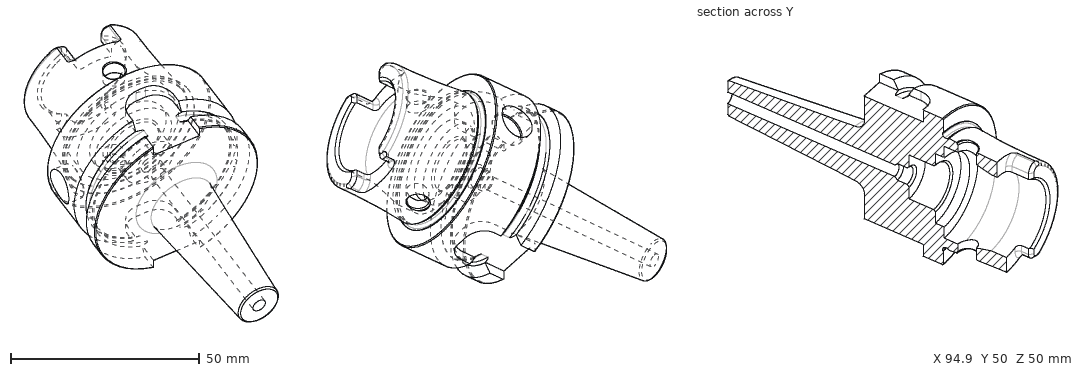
import cadquery as cq
import math

ROUNDING_INSET = 1 - math.sqrt(0.5)

TOTAL_LENGTH = 94.9
TAPER_LENGTH = 25.0
FLANGE_END = 50.7

TAPER_FRONT_RADIUS = 18.1
TAPER_MIDDLE_RADIUS = 18.3
TAPER_REAR_RADIUS = 19.2
TAPER_END = 23.1
FRONT_ROUNDING = 1.0
NECK_RADIUS = 18.8
NECK_START = 23.6
FACE_RELIEF_RADIUS = 20.1
FACE_RELIEF_DEPTH = 0.2
NECK_FILLET = 0.8

FLANGE_DIAMETER = 50.0
FLANGE_RADIUS = FLANGE_DIAMETER / 2
FLANGE_CHAMFER = 0.3
GROOVE_CENTER = 42.8
GROOVE_FLOOR_WIDTH = 3.4
GROOVE_FLOOR_RADIUS = 21.5
GROOVE_WALL_TOP_RADIUS = 22.3
GROOVE_FLANK_ANGLE = 30.0
GROOVE_FLOOR_FILLET = 0.7

SHANK_TIP_RADIUS = 6.2
SHANK_TAPER_ANGLE = 4.5
SHANK_ROOT_FILLET = 3.0
SHANK_TIP_CHAMFER = 0.5

BORE_RADIUS = 12.9
BORE_MOUTH_CHAMFER = 0.8
BORE_LENGTH = 9.5
RELIEF_RADIUS = 15.6
RELIEF_CONE_END = 19.2
RELIEF_END = 24.7
STEP_RADIUS = 11.8
STEP_END = 27.5
SOCKET_RADIUS = 7.4
SOCKET_CHAMFER = 0.6
SOCKET_END = 36.1
COOLANT_INLET_RADIUS = 2.75
COOLANT_INLET_CHAMFER = 0.7
COOLANT_INLET_END = 39.9
COOLANT_RADIUS = 1.9

SLOT_HALF_WIDTH = 5.2
LUG_ROUNDING = 2.4
SLOT_FLOOR_FILLET = 1.2
SLOT_MOUTH_CHAMFER = 1.0
TOP_SLOT_DEPTH = 7.6
BOTTOM_SLOT_DEPTH = 4.6

POCKET_START = 31.6
POCKET_WIDTH = 14.0
POCKET_CORNER_RADIUS = 5.6
POCKET_FLOOR_HEIGHT = 21.0

CROSS_HOLE_CENTER = 17.3
CROSS_HOLE_RADIUS = 2.9
CROSS_HOLE_COUNTERSINK = 0.4
CROSS_HOLE_SEAT_HEIGHT = 18.1

SIDE_HOLE_CENTER = 31.8
SIDE_HOLE_RADIUS = 4.9
SIDE_HOLE_DEPTH = 4.8
SIDE_HOLE_FLOOR_CHAMFER = 0.3


def revolve_about_x(profile):
    return profile.close().revolve(360, (0, 0, 0), (1, 0, 0))


def turn_over(shape):
    """Half turn about X, from the +Z side to the -Z side."""
    return shape.rotate((0, 0, 0), (1, 0, 0), 180)


def make_body():
    """Turned outer shape without the gripper groove: taper, neck, flange and shank."""
    taper_middle = (FRONT_ROUNDING + TAPER_END) / 2
    rounding_inset = FRONT_ROUNDING * ROUNDING_INSET
    relief_x = TAPER_LENGTH + FACE_RELIEF_DEPTH
    neck_inset = NECK_FILLET * ROUNDING_INSET
    slope = math.radians(SHANK_TAPER_ANGLE)
    tip_x = TOTAL_LENGTH - SHANK_TIP_CHAMFER

    fillet_x = FLANGE_END + SHANK_ROOT_FILLET
    cone_radius = SHANK_TIP_RADIUS + (tip_x - fillet_x) * math.tan(slope)
    fillet_radius = cone_radius + SHANK_ROOT_FILLET / math.cos(slope)
    fillet_turn = math.pi / 2 - slope

    def fillet_point(angle):
        """Point on the root fillet, turned by angle from where it touches the flange face."""
        return (
            fillet_x - SHANK_ROOT_FILLET * math.cos(angle),
            fillet_radius - SHANK_ROOT_FILLET * math.sin(angle),
        )

    profile = (
        cq.Workplane("XY")
        .lineTo(0, TAPER_FRONT_RADIUS - FRONT_ROUNDING)
        .threePointArc(
            (rounding_inset, TAPER_FRONT_RADIUS - rounding_inset),
            (FRONT_ROUNDING, TAPER_FRONT_RADIUS),
        )
        .threePointArc((taper_middle, TAPER_MIDDLE_RADIUS), (TAPER_END, TAPER_REAR_RADIUS))
        .lineTo(NECK_START, NECK_RADIUS)
        .lineTo(relief_x - NECK_FILLET, NECK_RADIUS)
        .threePointArc(
            (relief_x - neck_inset, NECK_RADIUS + neck_inset),
            (relief_x, NECK_RADIUS + NECK_FILLET),
        )
        .lineTo(relief_x, FACE_RELIEF_RADIUS)
        .lineTo(TAPER_LENGTH, FACE_RELIEF_RADIUS)
        .lineTo(TAPER_LENGTH, FLANGE_RADIUS - FLANGE_CHAMFER)
        .lineTo(TAPER_LENGTH + FLANGE_CHAMFER, FLANGE_RADIUS)
        .lineTo(FLANGE_END - FLANGE_CHAMFER, FLANGE_RADIUS)
        .lineTo(FLANGE_END, FLANGE_RADIUS - FLANGE_CHAMFER)
        .lineTo(*fillet_point(0))
        .threePointArc(fillet_point(fillet_turn / 2), fillet_point(fillet_turn))
        .lineTo(tip_x, SHANK_TIP_RADIUS)
        .lineTo(TOTAL_LENGTH, SHANK_TIP_RADIUS - SHANK_TIP_CHAMFER)
        .lineTo(TOTAL_LENGTH, 0)
    )
    return revolve_about_x(profile)


def make_gripper_groove():
    """Ring with sloping flanks, short upright walls and a filleted floor."""
    half_floor = GROOVE_FLOOR_WIDTH / 2
    flank_height = FLANGE_RADIUS - GROOVE_WALL_TOP_RADIUS
    half_mouth = half_floor + flank_height * math.tan(math.radians(GROOVE_FLANK_ANGLE))
    fillet = GROOVE_FLOOR_FILLET
    inset = fillet * ROUNDING_INSET
    left = GROOVE_CENTER - half_floor
    right = GROOVE_CENTER + half_floor
    floor = GROOVE_FLOOR_RADIUS
    profile = (
        cq.Workplane("XY")
        .moveTo(GROOVE_CENTER - half_mouth, FLANGE_RADIUS)
        .lineTo(left, GROOVE_WALL_TOP_RADIUS)
        .lineTo(left, floor + fillet)
        .threePointArc((left + inset, floor + inset), (left + fillet, floor))
        .lineTo(right - fillet, floor)
        .threePointArc((right - inset, floor + inset), (right, floor + fillet))
        .lineTo(right, GROOVE_WALL_TOP_RADIUS)
        .lineTo(GROOVE_CENTER + half_mouth, FLANGE_RADIUS)
    )
    return revolve_about_x(profile)


def make_bore():
    """Stepped bore from the open end, with a coolant hole through the shank."""
    inlet_step = COOLANT_INLET_RADIUS - COOLANT_RADIUS
    profile = (
        cq.Workplane("XY")
        .lineTo(0, BORE_RADIUS + BORE_MOUTH_CHAMFER)
        .lineTo(BORE_MOUTH_CHAMFER, BORE_RADIUS)
        .lineTo(BORE_LENGTH, BORE_RADIUS)
        .lineTo(RELIEF_CONE_END, RELIEF_RADIUS)
        .lineTo(RELIEF_END, RELIEF_RADIUS)
        .lineTo(RELIEF_END, STEP_RADIUS)
        .lineTo(STEP_END, STEP_RADIUS)
        .lineTo(STEP_END, SOCKET_RADIUS + SOCKET_CHAMFER)
        .lineTo(STEP_END + SOCKET_CHAMFER, SOCKET_RADIUS)
        .lineTo(SOCKET_END, SOCKET_RADIUS)
        .lineTo(SOCKET_END, COOLANT_INLET_RADIUS + COOLANT_INLET_CHAMFER)
        .lineTo(SOCKET_END + COOLANT_INLET_CHAMFER, COOLANT_INLET_RADIUS)
        .lineTo(COOLANT_INLET_END, COOLANT_INLET_RADIUS)
        .lineTo(COOLANT_INLET_END + inlet_step, COOLANT_RADIUS)
        .lineTo(TOTAL_LENGTH, COOLANT_RADIUS)
        .lineTo(TOTAL_LENGTH, 0)
    )
    return revolve_about_x(profile)


def slot_outline(x, offset):
    """Slot section across X, grown by offset; its walls flare out round the lug corners."""
    rounding = LUG_ROUNDING - offset
    center_y = SLOT_HALF_WIDTH + LUG_ROUNDING
    center_z = math.sqrt((TAPER_FRONT_RADIUS - LUG_ROUNDING) ** 2 - center_y**2)
    wall_y = center_y - rounding
    lug_top = center_z + rounding
    diagonal = rounding * (1 - ROUNDING_INSET)
    reach = TAPER_REAR_RADIUS
    return (
        cq.Workplane("YZ", origin=(x, 0, 0))
        .moveTo(-wall_y, 0)
        .lineTo(-wall_y, center_z)
        .threePointArc((-center_y + diagonal, center_z + diagonal), (-center_y, lug_top))
        .lineTo(-reach, lug_top)
        .lineTo(-reach, reach)
        .lineTo(reach, reach)
        .lineTo(reach, lug_top)
        .lineTo(center_y, lug_top)
        .threePointArc((center_y - diagonal, center_z + diagonal), (wall_y, center_z))
        .lineTo(wall_y, 0)
        .close()
    )


def make_drive_slot(depth):
    """Slot on the +Z side with a filleted floor and a chamfered mouth."""
    slot = slot_outline(0, 0).extrude(depth).faces(">X").edges().fillet(SLOT_FLOOR_FILLET)
    mouth = cq.Solid.makeLoft(
        [
            slot_outline(0, SLOT_MOUTH_CHAMFER).val(),
            slot_outline(SLOT_MOUTH_CHAMFER, 0).val(),
        ],
        True,
    )
    return slot.union(cq.Workplane(mouth))


def make_flange_pocket():
    """Flat-bottomed pocket on the +Z side, open towards the shank."""
    length = FLANGE_END - POCKET_START
    return (
        cq.Workplane("XY", origin=(POCKET_START + length / 2, 0, POCKET_FLOOR_HEIGHT))
        .rect(length, POCKET_WIDTH)
        .extrude(FLANGE_RADIUS - POCKET_FLOOR_HEIGHT)
        .edges("|Z and <X")
        .fillet(POCKET_CORNER_RADIUS)
    )


def make_cross_hole():
    """Hole along Z through both walls of the taper, countersunk outside."""
    mouth_radius = CROSS_HOLE_RADIUS + CROSS_HOLE_COUNTERSINK
    hole = cq.Workplane("XY", origin=(CROSS_HOLE_CENTER, 0, 0)).circle(CROSS_HOLE_RADIUS)
    hole = hole.extrude(FLANGE_RADIUS, both=True)
    countersink = (
        cq.Workplane("XY", origin=(CROSS_HOLE_CENTER, 0, CROSS_HOLE_SEAT_HEIGHT))
        .circle(CROSS_HOLE_RADIUS)
        .workplane(offset=CROSS_HOLE_COUNTERSINK)
        .circle(mouth_radius)
        .loft()
        .faces(">Z")
        .wires()
        .toPending()
        .extrude(FLANGE_RADIUS - CROSS_HOLE_SEAT_HEIGHT)
    )
    return hole.union(countersink).union(turn_over(countersink))


def make_side_hole():
    """Flat-bottomed blind hole along Y with a bevelled floor edge."""
    return (
        cq.Workplane("XZ", origin=(SIDE_HOLE_CENTER, -FLANGE_RADIUS, 0))
        .circle(SIDE_HOLE_RADIUS)
        .extrude(-SIDE_HOLE_DEPTH)
        .faces(">Y")
        .chamfer(SIDE_HOLE_FLOOR_CHAMFER)
    )


result = (
    make_body()
    .cut(make_gripper_groove())
    .cut(make_drive_slot(TOP_SLOT_DEPTH))
    .cut(turn_over(make_drive_slot(BOTTOM_SLOT_DEPTH)))
    .cut(make_bore())
    .cut(make_flange_pocket())
    .cut(turn_over(make_flange_pocket()))
    .cut(make_cross_hole())
    .cut(make_side_hole())
)